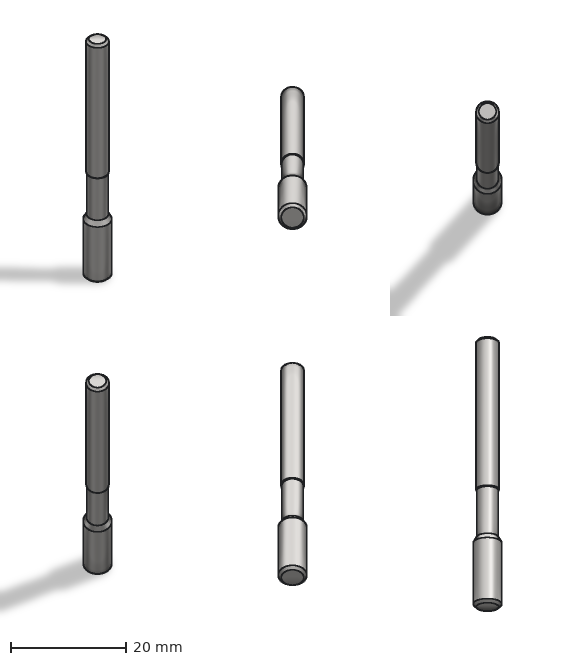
import cadquery as cq
import math

total_length = 50.0

head_diameter = 4.99
neck_diameter = 3.8
shank_diameter = 4.0

head_length = 12.0
shank_length = 28.0

head_chamfer = 0.55
tip_chamfer = 0.5
taper_angle = 30.0

head_radius = head_diameter / 2
neck_radius = neck_diameter / 2
shank_radius = shank_diameter / 2


def taper_length(outer_radius):
    """Axial length of the cone between the neck and a larger cylinder."""
    return (outer_radius - neck_radius) / math.tan(math.radians(taper_angle))


shank_bottom = total_length - shank_length
neck_bottom = head_length + taper_length(head_radius)
neck_top = shank_bottom - taper_length(shank_radius)


def stepped_pin():
    """Revolve the half profile (radius, height) about the Z axis."""
    profile = [
        (0, 0),
        (head_radius - head_chamfer, 0),
        (head_radius, head_chamfer),
        (head_radius, head_length),
        (neck_radius, neck_bottom),
        (neck_radius, neck_top),
        (shank_radius, shank_bottom),
        (shank_radius, total_length - tip_chamfer),
        (shank_radius - tip_chamfer, total_length),
        (0, total_length),
    ]
    half_section = cq.Workplane("YZ").polyline(profile).close()
    return half_section.revolve(360, (0, 0, 0), (0, 1, 0))


result = stepped_pin()